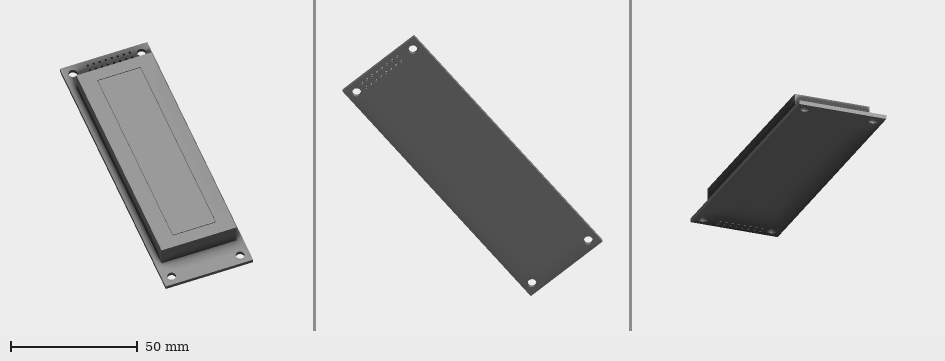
import cadquery as cq

board_length = 116.0
board_width = 37.0
board_thickness = 1.6
total_height = 10.0

housing_length = 93.3
housing_width = 31.8

window_length = 82.8
window_width = 18.6
groove_width = 0.3
groove_depth = 0.3

mount_diameter = 3.5
mount_spacing_x = 108.0
mount_spacing_y = 29.0

pin_diameter = 1.0
pin_pitch = 2.5
pin_columns = 2
pin_rows = 8
pin_edge_distance = 2.4
pin_center_x = -board_length / 2 + pin_edge_distance + pin_pitch * (pin_columns - 1) / 2
pin_center_y = pin_pitch / 2


def make_board():
    board = cq.Workplane("XY").box(
        board_length, board_width, board_thickness, centered=(True, True, False)
    )
    board = (
        board.faces(">Z").workplane()
        .rect(mount_spacing_x, mount_spacing_y, forConstruction=True)
        .vertices()
        .hole(mount_diameter)
    )
    return (
        board.faces(">Z").workplane(origin=(pin_center_x, pin_center_y, 0))
        .rarray(pin_pitch, pin_pitch, pin_columns, pin_rows)
        .hole(pin_diameter)
    )


def make_housing():
    housing = (
        cq.Workplane("XY", origin=(0, 0, board_thickness))
        .rect(housing_length, housing_width)
        .extrude(total_height - board_thickness)
    )
    groove = (
        cq.Workplane("XY", origin=(0, 0, total_height))
        .rect(window_length, window_width)
        .rect(window_length - 2 * groove_width, window_width - 2 * groove_width)
        .extrude(-groove_depth)
    )
    return housing.cut(groove)


result = make_board().union(make_housing())